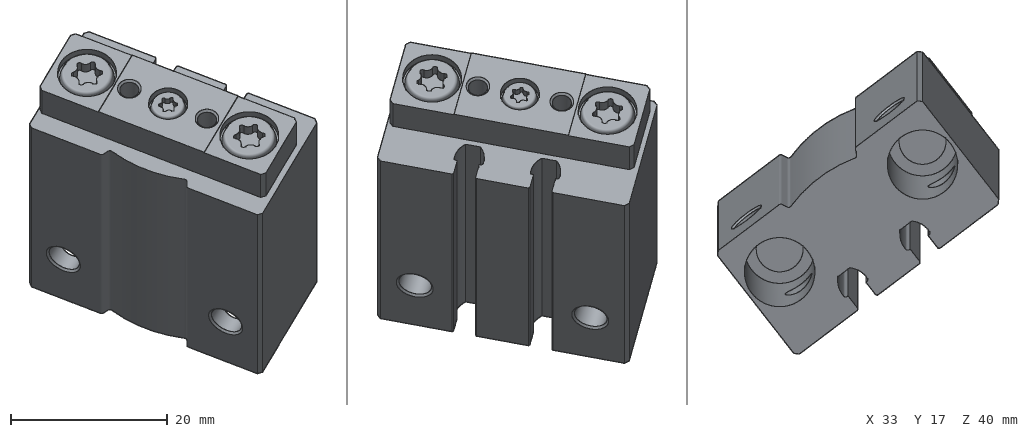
import cadquery as cq
import math

housing_width = 33.0
housing_depth = 17.0
housing_height = 34.0
front_y = -7.0
rear_y = front_y + housing_depth

yoke_width = 32.0
corner_chamfer = (housing_width - yoke_width) / 2
yoke_depth = 10.0
yoke_height = 5.0
yoke_gap = 1.0
yoke_bottom = housing_height + yoke_gap
yoke_top = yoke_bottom + yoke_height

pad_step = 0.1
middle_width = 15.0

guide_spacing = 23.0
guide_x = (-guide_spacing / 2, guide_spacing / 2)
guide_rod_diameter = 6.0
rod_end_z = 16.0
guide_rod_chamfer = 0.35
guide_chamber_diameter = 9.0
piston_rod_diameter = 4.0

cross_hole_diameter = 4.3
cross_hole_z = housing_height / 4
cross_hole_chamfer = 0.3

slot_spacing = 10.0
slot_mouth_width = 2.9
slot_mouth_depth = 2.25
slot_wide_width = 3.8
slot_arc_depth = 2.8
slot_depth = 5.0
slot_floor_width = 1.9
slot_mouth_chamfer = 0.15
slot_shoulder_fillet = 0.3

relief_mouth_half = 6.0
relief_floor_half = 5.45
relief_depth = 1.15
crown_recess = 0.3
relief_edge_fillet = 0.35
selection_margin = 0.05

guide_screw_recess = 7.5
guide_screw_head = 7.0
guide_screw_crown = 6.4
guide_screw_round = 0.4
guide_screw_drive = 4.0
piston_screw_recess = 5.0
piston_screw_head = 4.55
piston_screw_crown = 4.15
piston_screw_round = 0.3
piston_screw_drive = 2.45
head_sink = 0.2
recess_depth = 1.2
drive_depth_ratio = 0.4
drive_lobes = 6
drive_waist_ratio = 0.72
drive_shoulder_ratio = 0.86
drive_lobe_half_angle = math.radians(11)
tapped_spacing = 11.0
tapped_diameter = 2.45
tapped_chamfer = 0.3
tapped_chamfer_angle = 90


def cylinder(x, diameter, bottom, top):
    """Vertical cylinder on the plane y = 0."""
    return (
        cq.Workplane("XY", origin=(x, 0, bottom))
        .circle(diameter / 2)
        .extrude(top - bottom)
    )


def sensor_slot(x):
    """Vertical slot cutter with a narrow mouth, curved flanks and a flat floor."""
    mouth = slot_mouth_width / 2
    wide = slot_wide_width / 2
    step_y = rear_y - slot_mouth_depth
    floor = slot_floor_width / 2
    arc_y = rear_y - slot_arc_depth
    floor_y = rear_y - slot_depth
    flank_inset = wide - floor
    flank_radius = (flank_inset**2 + (arc_y - floor_y) ** 2) / (2 * flank_inset)
    channel = (
        cq.Workplane("XY")
        .moveTo(x - wide, step_y)
        .lineTo(x - wide, arc_y)
        .radiusArc((x - floor, floor_y), -flank_radius)
        .lineTo(x + floor, floor_y)
        .radiusArc((x + wide, arc_y), -flank_radius)
        .lineTo(x + wide, step_y)
        .close()
        .extrude(housing_height)
        .edges("|Z and >Y")
        .fillet(slot_shoulder_fillet)
    )
    neck = (
        cq.Workplane("XY")
        .moveTo(x - mouth, arc_y)
        .lineTo(x - mouth, rear_y - slot_mouth_chamfer)
        .lineTo(x - mouth - slot_mouth_chamfer, rear_y)
        .lineTo(x + mouth + slot_mouth_chamfer, rear_y)
        .lineTo(x + mouth, rear_y - slot_mouth_chamfer)
        .lineTo(x + mouth, arc_y)
        .close()
        .extrude(housing_height)
    )
    return channel.union(neck)


def front_relief():
    """Cutter for the front relief, leaving the crowned centre standing."""
    floor_y = front_y + relief_depth
    return (
        cq.Workplane("XY")
        .moveTo(-relief_mouth_half, front_y)
        .lineTo(-relief_floor_half, floor_y)
        .threePointArc((0, front_y + crown_recess), (relief_floor_half, floor_y))
        .lineTo(relief_mouth_half, front_y)
        .close()
        .extrude(housing_height)
    )


def cross_hole(x):
    """Front-to-rear hole cutter, chamfered at both ends."""
    radius = cross_hole_diameter / 2
    rim = radius + cross_hole_chamfer
    return (
        cq.Workplane("XY", origin=(x, 0, cross_hole_z))
        .moveTo(0, front_y)
        .lineTo(rim, front_y)
        .lineTo(radius, front_y + cross_hole_chamfer)
        .lineTo(radius, rear_y - cross_hole_chamfer)
        .lineTo(rim, rear_y)
        .lineTo(0, rear_y)
        .close()
        .revolve(360, (0, 0, 0), (0, 1, 0))
    )


def make_housing():
    body = (
        cq.Workplane("XY")
        .box(housing_width, housing_depth, housing_height, centered=(True, False, False))
        .translate((0, front_y, 0))
        .edges("|Z")
        .chamfer(corner_chamfer)
    )
    body = body.cut(front_relief())
    relief_edges = cq.selectors.BoxSelector(
        (-relief_mouth_half - selection_margin, front_y - selection_margin, 0),
        (relief_mouth_half + selection_margin, front_y + relief_depth + selection_margin, housing_height),
    )
    body = body.edges("|Z").edges(relief_edges).fillet(relief_edge_fillet)
    for side in (-1, 1):
        body = body.cut(sensor_slot(side * slot_spacing / 2))
    for x in guide_x:
        body = body.cut(cross_hole(x))
        body = body.cut(cylinder(x, guide_rod_diameter, rod_end_z, housing_height))
        body = body.cut(cylinder(x, guide_chamber_diameter, 0, rod_end_z))
    return body.cut(cylinder(0, piston_rod_diameter, rod_end_z, housing_height))


def drive_socket(x, tip_diameter, top):
    """Six-lobed screw drive cutter with rounded lobes and rounded hollows."""
    tip = tip_diameter / 2
    waist = drive_waist_ratio * tip
    shoulder = drive_shoulder_ratio * tip
    spread = drive_lobe_half_angle
    pitch = 2 * math.pi / drive_lobes
    first = math.pi / 2

    def point(radius, angle):
        return (x + radius * math.cos(angle), radius * math.sin(angle))

    profile = cq.Workplane("XY", origin=(0, 0, top)).moveTo(*point(shoulder, first - spread))
    for i in range(drive_lobes):
        lobe = first + i * pitch
        profile = profile.threePointArc(point(tip, lobe), point(shoulder, lobe + spread))
        profile = profile.threePointArc(
            point(waist, lobe + pitch / 2), point(shoulder, lobe + pitch - spread)
        )
    return profile.close().extrude(-drive_depth_ratio * tip_diameter)


def add_screw(body, x, recess, head, crown, round_radius, drive):
    """Recess in the yoke top with a tapered, round-edged screw head standing in it."""
    head_top = yoke_top - head_sink
    recess_floor = yoke_top - recess_depth
    head_height = head_top - recess_floor
    head_body = (
        cq.Workplane("XY", origin=(x, 0, recess_floor))
        .circle(head / 2)
        .workplane(offset=head_height)
        .circle(crown / 2)
        .loft(ruled=True)
        .edges(">Z")
        .fillet(round_radius)
    )
    body = body.cut(cylinder(x, recess, recess_floor, yoke_top))
    return body.union(head_body).cut(drive_socket(x, drive, head_top))


def end_pads():
    """Cutter that lowers both ends of the yoke top by the pad step."""
    pad_length = (yoke_width - middle_width) / 2
    pad_x = (middle_width + pad_length) / 2
    return (
        cq.Workplane("XY", origin=(0, 0, yoke_top - pad_step))
        .pushPoints([(-pad_x, 0), (pad_x, 0)])
        .rect(pad_length, yoke_depth)
        .extrude(pad_step)
    )


def make_yoke():
    body = (
        cq.Workplane("XY", origin=(0, 0, yoke_bottom))
        .box(yoke_width, yoke_depth, yoke_height, centered=(True, True, False))
        .edges("|Z")
        .chamfer(corner_chamfer)
    )
    body = (
        body.faces(">Z")
        .workplane(origin=(0, 0, yoke_top))
        .pushPoints([(-tapped_spacing / 2, 0), (tapped_spacing / 2, 0)])
        .cskHole(tapped_diameter, tapped_diameter + 2 * tapped_chamfer, tapped_chamfer_angle)
    )
    body = body.cut(end_pads())
    guide_screw = (
        guide_screw_recess, guide_screw_head, guide_screw_crown, guide_screw_round, guide_screw_drive
    )
    piston_screw = (
        piston_screw_recess, piston_screw_head, piston_screw_crown, piston_screw_round, piston_screw_drive
    )
    for x in guide_x:
        rod = cylinder(x, guide_rod_diameter, rod_end_z, yoke_bottom)
        body = body.union(rod.edges(">Z").chamfer(guide_rod_chamfer))
        body = add_screw(body, x, *guide_screw)
    body = body.union(cylinder(0, piston_rod_diameter, rod_end_z, yoke_bottom))
    return add_screw(body, 0, *piston_screw)


housing = make_housing()
yoke = make_yoke()

result = cq.Compound.makeCompound([housing.val(), yoke.val()])